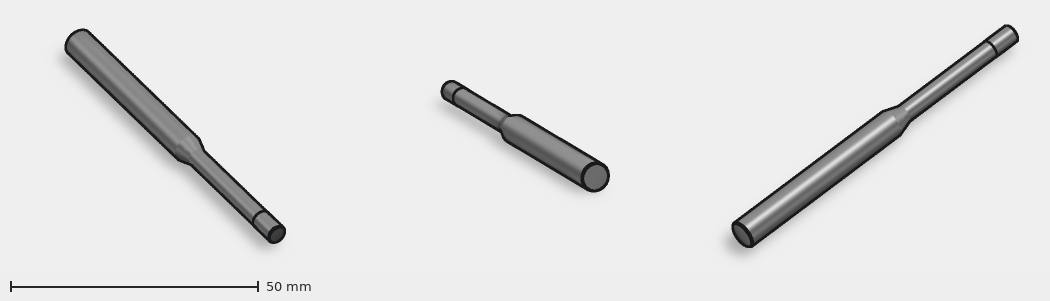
import cadquery as cq

overall_length = 75.0
shank_diameter = 6.0
neck_diameter = 3.9
tip_diameter = 4.0
shank_length = 41.5
taper_end = 45.0
tip_length = 6.0
shank_chamfer = 0.25
tip_chamfer = 0.2

shank_radius = shank_diameter / 2
neck_radius = neck_diameter / 2
tip_radius = tip_diameter / 2
tip_start = overall_length - tip_length


def half_profile():
    """Closed outline of half the lengthwise section, from the rear centre round to the tip centre."""
    return (
        cq.Workplane("XY")
        .moveTo(0, 0)
        .lineTo(0, shank_radius - shank_chamfer)
        .lineTo(shank_chamfer, shank_radius)
        .lineTo(shank_length, shank_radius)
        .lineTo(taper_end, neck_radius)
        .lineTo(tip_start, neck_radius)
        .lineTo(tip_start, tip_radius)
        .lineTo(overall_length - tip_chamfer, tip_radius)
        .lineTo(overall_length, tip_radius - tip_chamfer)
        .lineTo(overall_length, 0)
        .close()
    )


axis_start = (0, 0, 0)
axis_end = (1, 0, 0)
result = half_profile().revolve(360, axis_start, axis_end)